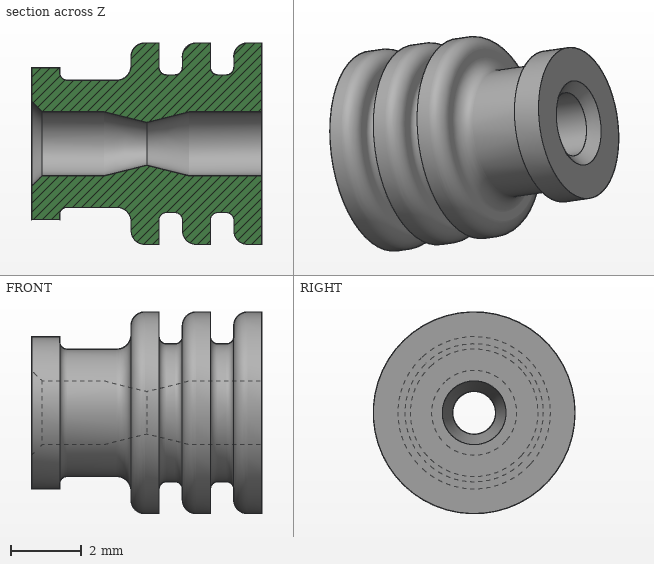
import cadquery as cq

length = 6.5
collar_diameter = 4.3
collar_width = 0.8
neck_diameter = 3.6
groove_diameter = 3.9
fin_diameter = 5.7
fin_width = 0.8
fin_pitch = 1.45
fin_count = 3
fin_edge_radius = fin_width / 2
neck_fin_fillet = 0.395
small_fillet = 0.2

bore_diameter = 1.8
mouth_chamfer = 0.3
lip_diameter = 1.2
lip_half_width = 1.2
lip_center = length / 2

first_fin_start = length - fin_width - (fin_count - 1) * fin_pitch
fin_starts = [first_fin_start + i * fin_pitch for i in range(fin_count)]


def cylinder(diameter, start, end):
    return cq.Workplane("YZ").workplane(offset=start).circle(diameter / 2).extrude(end - start)


def root_fillet(root_diameter, face, radius, direction):
    """Concave ring between a root cylinder and a face; direction is +1 if the ring lies on its +X side."""
    root = root_diameter / 2
    overlap = radius / 2
    mid = radius * (1 - 0.5**0.5)
    return (
        cq.Workplane("XY")
        .moveTo(face - direction * overlap, root - overlap)
        .lineTo(face - direction * overlap, root + radius)
        .lineTo(face, root + radius)
        .threePointArc((face + direction * mid, root + mid), (face + direction * radius, root))
        .lineTo(face + direction * radius, root - overlap)
        .close()
        .revolve(360, (0, 0, 0), (1, 0, 0))
    )


def fin(start):
    disc = cylinder(fin_diameter, start, start + fin_width)
    return disc.faces("<X").edges().fillet(fin_edge_radius)


def outer_body():
    body = cylinder(collar_diameter, 0, collar_width)
    body = body.union(cylinder(neck_diameter, 0, length))
    body = body.union(cylinder(groove_diameter, first_fin_start + fin_width, length))
    for start in fin_starts:
        body = body.union(fin(start))
    body = body.union(root_fillet(neck_diameter, collar_width, small_fillet, 1))
    body = body.union(root_fillet(neck_diameter, first_fin_start, neck_fin_fillet, -1))
    for start in fin_starts[:-1]:
        body = body.union(root_fillet(groove_diameter, start + fin_width, small_fillet, 1))
        body = body.union(root_fillet(groove_diameter, start + fin_pitch, small_fillet, -1))
    return body


def bore_cutter():
    bore = bore_diameter / 2
    return (
        cq.Workplane("XY")
        .lineTo(0, bore + mouth_chamfer)
        .lineTo(mouth_chamfer, bore)
        .lineTo(lip_center - lip_half_width, bore)
        .lineTo(lip_center, lip_diameter / 2)
        .lineTo(lip_center + lip_half_width, bore)
        .lineTo(length, bore)
        .lineTo(length, 0)
        .close()
        .revolve(360, (0, 0, 0), (1, 0, 0))
    )


result = outer_body().cut(bore_cutter())